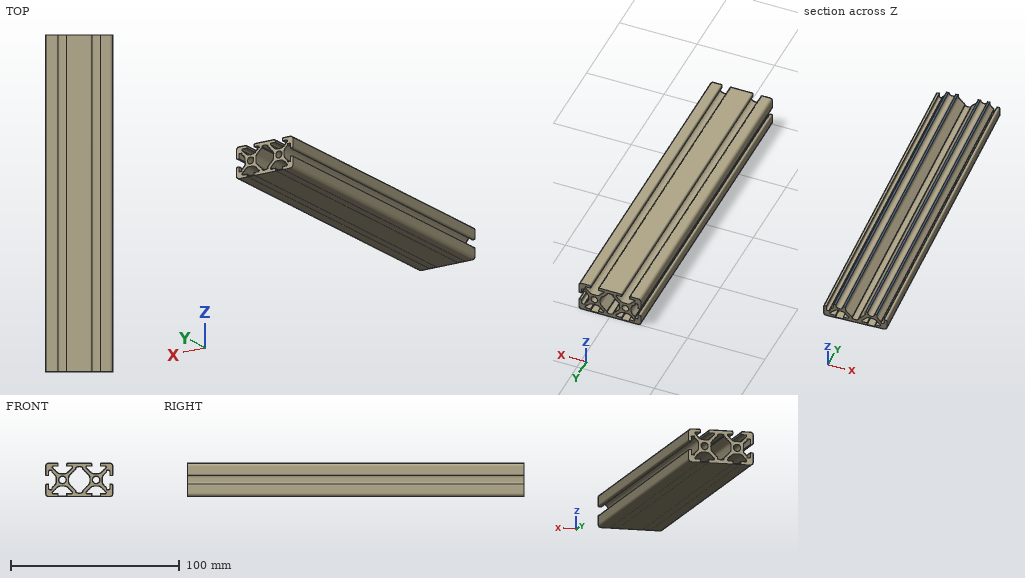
import cadquery as cq
import math

WIDTH = 40.0
HEIGHT = 20.0
LENGTH = 200.0
CORNER_RADIUS = 2.0

HALF_CELL = HEIGHT / 2
CELL_CENTERS = (-HALF_CELL, HALF_CELL)
CORE_BORE = 4.3

FLANK_ANGLE = 45.0
FLOOR_DISTANCE = 3.75
FLOOR_HALF_FLAT = 1.1
WIDE_FLOOR_RADIUS = 3.1
NARROW_FLOOR_RADIUS = 2.8

LIP_THICKNESS = 1.85
LIP_UNDERSIDE = HALF_CELL - LIP_THICKNESS
CAVITY_HALF_WIDTH = 5.9
OPENING = 5.0
LIP_RADIUS = 0.95
CAVITY_CORNER_RADIUS = 0.6
SKIN_THICKNESS = 0.5

UNDERCUT_HALF_WIDTH = 5.7
UNDERCUT_FLOOR = 6.2

CROWN_HALF_WIDTH = 2.0
CROWN_SPRING_HEIGHT = 7.2
CROWN_PEAK_HEIGHT = 7.85


def along_y(outline):
    """Extrude a closed XZ outline over the full length of the bar."""
    return outline.extrude(LENGTH / 2, both=True)


def blank():
    """Solid bar with rounded long edges."""
    return (
        cq.Workplane("XY")
        .box(WIDTH, LENGTH, HEIGHT)
        .edges("|Y")
        .fillet(CORNER_RADIUS)
    )


def arc_point(radius, angle_degrees):
    """Point on the right-hand floor arc, at an angle measured from the flat."""
    angle = math.radians(angle_degrees)
    x = FLOOR_HALF_FLAT + radius * math.sin(angle)
    z = FLOOR_DISTANCE + radius * (1 - math.cos(angle))
    return x, z


def mirrored(point):
    """Reflect an XZ point across the Z axis."""
    x, z = point
    return -x, z


def flank_rise(radius):
    """Constant z - x along the 45 degree flank that follows the floor arc."""
    end_x, end_z = arc_point(radius, FLANK_ANGLE)
    return end_z - end_x


def hollow(radius, right_side):
    """Hollow opening towards +Z; right_side lists the right-hand points above the floor arc."""
    arc_middle = arc_point(radius, FLANK_ANGLE / 2)
    arc_end = arc_point(radius, FLANK_ANGLE)
    floor_right = arc_point(radius, 0)
    outline = cq.Workplane("XZ").moveTo(*mirrored(floor_right)).lineTo(*floor_right)
    outline = outline.threePointArc(arc_middle, arc_end)
    for point in right_side:
        outline = outline.lineTo(*point)
    for point in reversed(right_side):
        outline = outline.lineTo(*mirrored(point))
    outline = outline.lineTo(*mirrored(arc_end))
    outline = outline.threePointArc(mirrored(arc_middle), mirrored(floor_right))
    return along_y(outline.close())


def mouth(outer_z):
    """Straight passage between the lips of a slot, ending at outer_z."""
    depth = outer_z - LIP_UNDERSIDE
    passage = cq.Workplane("XY").box(OPENING, LENGTH, depth)
    return passage.translate((0, 0, LIP_UNDERSIDE + depth / 2))


def rounded_at_lips(cavity):
    """Round the corners where the cavity walls meet the undersides of the lips."""
    return cavity.faces(">Z").edges("|Y").fillet(CAVITY_CORNER_RADIUS)


def wide_cavity():
    """Cavity of the upper and lower slots."""
    flank_top = (CAVITY_HALF_WIDTH, CAVITY_HALF_WIDTH + flank_rise(WIDE_FLOOR_RADIUS))
    lip_corner = (CAVITY_HALF_WIDTH, LIP_UNDERSIDE)
    return rounded_at_lips(hollow(WIDE_FLOOR_RADIUS, [flank_top, lip_corner]))


def end_cavity():
    """Cavity of the slots in the short sides, stepped out to an undercut behind the lips."""
    flank_top = (UNDERCUT_FLOOR - flank_rise(NARROW_FLOOR_RADIUS), UNDERCUT_FLOOR)
    undercut_corner = (UNDERCUT_HALF_WIDTH, UNDERCUT_FLOOR)
    lip_corner = (UNDERCUT_HALF_WIDTH, LIP_UNDERSIDE)
    return rounded_at_lips(hollow(NARROW_FLOOR_RADIUS, [flank_top, undercut_corner, lip_corner]))


def half_chamber():
    """Half of the central chamber between its core wall and the middle of the profile."""
    flank_end_z = HALF_CELL - CROWN_HALF_WIDTH
    flank_end = (flank_end_z - flank_rise(NARROW_FLOOR_RADIUS), flank_end_z)
    middle_corner = (flank_end[0], HALF_CELL)
    return hollow(NARROW_FLOOR_RADIUS, [flank_end, middle_corner])


def crown_hollow():
    """Middle strip of the chamber, closed above and below by arcs."""
    return along_y(
        cq.Workplane("XZ")
        .moveTo(-CROWN_HALF_WIDTH, -CROWN_SPRING_HEIGHT)
        .threePointArc((0, -CROWN_PEAK_HEIGHT), (CROWN_HALF_WIDTH, -CROWN_SPRING_HEIGHT))
        .lineTo(CROWN_HALF_WIDTH, CROWN_SPRING_HEIGHT)
        .threePointArc((0, CROWN_PEAK_HEIGHT), (-CROWN_HALF_WIDTH, CROWN_SPRING_HEIGHT))
        .close()
    )


def lip_rounding():
    """Material removed to round the outer edges of the lips of a slot."""
    diagonal = math.cos(math.radians(45))
    edge_x = OPENING / 2
    lip_x = edge_x + LIP_RADIUS
    lip_z = HALF_CELL - LIP_RADIUS
    mid_x = lip_x - LIP_RADIUS * diagonal
    mid_z = lip_z + LIP_RADIUS * diagonal
    return along_y(
        cq.Workplane("XZ")
        .moveTo(-edge_x, lip_z)
        .lineTo(edge_x, lip_z)
        .threePointArc((mid_x, mid_z), (lip_x, HALF_CELL))
        .lineTo(-lip_x, HALF_CELL)
        .threePointArc((-mid_x, mid_z), (-edge_x, lip_z))
        .close()
    )


def turned(shape, angle):
    """Turn a +Z facing shape about the Y axis; 90 makes it face +X, 180 makes it face -Z."""
    return shape.rotate((0, 0, 0), (0, 1, 0), angle)


core_bore = along_y(cq.Workplane("XZ").circle(CORE_BORE / 2))
open_mouth = mouth(HALF_CELL).union(lip_rounding())
top_slot = wide_cavity().union(open_mouth)
closed_slot = wide_cavity().union(mouth(HALF_CELL - SKIN_THICKNESS))
end_slot = end_cavity().union(open_mouth)

result = blank().cut(crown_hollow())
for center_x in CELL_CENTERS:
    outward = math.copysign(90, center_x)
    cell_cuts = (
        core_bore,
        top_slot,
        turned(closed_slot, 180),
        turned(end_slot, outward),
        turned(half_chamber(), -outward),
    )
    for cut_shape in cell_cuts:
        result = result.cut(cut_shape.translate((center_x, 0, 0)))